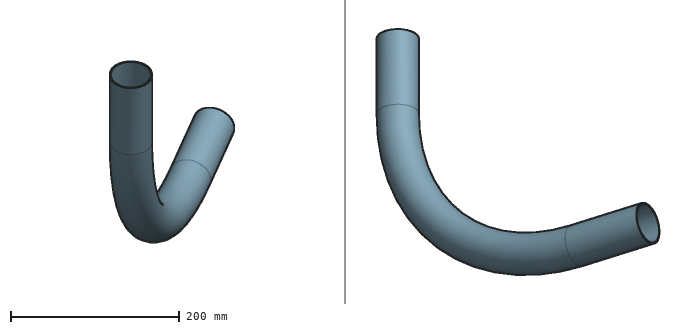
import cadquery as cq
import math

outer_diameter = 50.8
inner_diameter = 47.6
leg_length = 101.6
bend_radius = 254.0

end_distance = bend_radius + leg_length


def tube_centreline():
    """Path in the YZ plane: in along the lower leg, around the bend, up the upright leg."""
    bend_middle = bend_radius * (1 - math.sqrt(0.5))
    return (
        cq.Workplane("YZ")
        .moveTo(end_distance, 0)
        .lineTo(bend_radius, 0)
        .threePointArc((bend_middle, bend_middle), (0, bend_radius))
        .lineTo(0, end_distance)
    )


def bent_tube():
    """Ring section swept along the centreline, leaving both ends open."""
    ring = (
        cq.Workplane("XZ", origin=(0, end_distance, 0))
        .circle(outer_diameter / 2)
        .circle(inner_diameter / 2)
    )
    return ring.sweep(tube_centreline())


result = bent_tube()